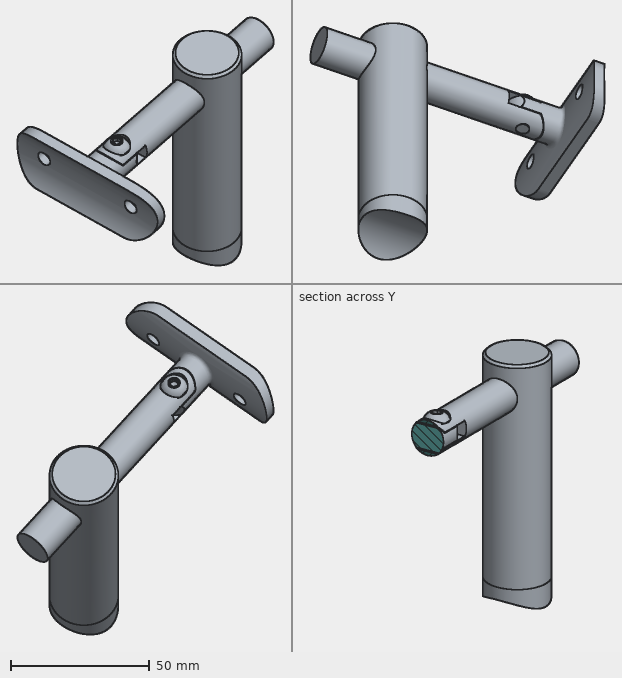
import cadquery as cq
import math


POST_DIAMETER = 24.9
POST_TOP = 13.0
POST_BOTTOM = -75.0
POST_CHAMFER = 1.0
SADDLE_BOTTOM = -84.1
RAIL_RADIUS = 21.2

BAR_DIAMETER = 14.0
BAR_BACK = 29.8
SLOT_BACK = -43.5
SLOT_WIDTH = 6.1
FORK_FLAT_END = -56.5
FORK_TIP = -59.6
JOINT_GAP = 0.2

PLATE_LENGTH = 65.0
PLATE_HEIGHT = POST_DIAMETER
PLATE_THICKNESS = 4.0
PLATE_HOLE_DIAMETER = 5.6
PLATE_HOLE_SPACING = 40.0
PLATE_FRONT = -73.3

TONGUE_CENTER = -52.9
TONGUE_END_RADIUS = 7.7
STEM_FILLET = 1.4

PIVOT = -52.3
SHANK_DIAMETER = 4.9
SHANK_BOTTOM = -6.9
HEAD_DIAMETER = 9.9
HEAD_BOTTOM = 5.3
HEAD_TOP = 8.0
HEAD_FLAT_DIAMETER = 4.3
DOME_MID_RADIUS = 3.8
DOME_MID_Z = 7.0
SOCKET_ACROSS_FLATS = 3.0
SOCKET_DEPTH = 1.5
SOCKET_POINT_DEPTH = 0.8

BAR_RADIUS = BAR_DIAMETER / 2
POST_RADIUS = POST_DIAMETER / 2
RAIL_AXIS_SETBACK = math.sqrt(RAIL_RADIUS**2 - POST_RADIUS**2)
RAIL_Y = PLATE_FRONT - RAIL_AXIS_SETBACK
PLATE_BACK_RADIUS = RAIL_RADIUS + PLATE_THICKNESS
PLATE_BACK = RAIL_Y + PLATE_BACK_RADIUS
RAIL_Z = SADDLE_BOTTOM - RAIL_AXIS_SETBACK


def rod_y(diameter, y_front, y_back):
    """Round rod on the Y axis."""
    rod = cq.Workplane("XZ", origin=(0, y_back, 0)).circle(diameter / 2)
    return rod.extrude(y_back - y_front)


def rod_z(diameter, z_bottom, z_top, y=0):
    """Upright round rod at the given Y."""
    rod = cq.Workplane("XY", origin=(0, y, z_bottom)).circle(diameter / 2)
    return rod.extrude(z_top - z_bottom)


def plate_cylinder(radius):
    """Cylinder along X about the rail axis in front of the plate, as long as the plate."""
    return cq.Workplane("YZ", origin=(0, RAIL_Y, 0)).circle(radius).extrude(PLATE_LENGTH / 2, both=True)


def make_post():
    """Chamfered round post with a cross bore for the bar."""
    post = rod_z(POST_DIAMETER, POST_BOTTOM, POST_TOP).faces(">Z").chamfer(POST_CHAMFER)
    return post.cut(rod_y(BAR_DIAMETER, -POST_DIAMETER, POST_DIAMETER))


def make_saddle():
    """Foot of the post, hollowed to sit on a rail along Y."""
    saddle = rod_z(POST_DIAMETER, SADDLE_BOTTOM, POST_BOTTOM)
    rail = rod_y(2 * RAIL_RADIUS, -POST_DIAMETER, POST_DIAMETER)
    return saddle.cut(rail.translate((0, 0, RAIL_Z)))


def joint_space(shrink):
    """Slot that flares to the fork tips, with every face moved inward by shrink."""
    slant = math.atan2(FORK_FLAT_END - FORK_TIP, BAR_RADIUS - SLOT_WIDTH / 2)
    half_slot = SLOT_WIDTH / 2 - shrink
    corner = FORK_FLAT_END - shrink * (1 / math.cos(slant) - math.tan(slant))
    reach = BAR_DIAMETER
    end = corner - (reach - half_slot) * math.tan(slant)
    outline = [
        (SLOT_BACK - shrink, half_slot),
        (corner, half_slot),
        (end, reach),
        (PLATE_FRONT, reach),
        (PLATE_FRONT, -reach),
        (end, -reach),
        (corner, -half_slot),
        (SLOT_BACK - shrink, -half_slot),
    ]
    return cq.Workplane("YZ").polyline(outline).close().extrude(BAR_DIAMETER, both=True)


def make_bar():
    """Round bar with a forked end, a screw hole and a recess for the screw head."""
    bar = rod_y(BAR_DIAMETER, PLATE_FRONT, BAR_BACK).cut(joint_space(0))
    bar = bar.cut(rod_z(SHANK_DIAMETER, -BAR_RADIUS, BAR_RADIUS, PIVOT))
    return bar.cut(rod_z(HEAD_DIAMETER, HEAD_BOTTOM, HEAD_TOP, PIVOT))


def make_stem():
    """Round stem that narrows to a drilled tongue with a rounded end."""
    stem = rod_y(BAR_DIAMETER, PLATE_FRONT, SLOT_BACK).intersect(joint_space(JOINT_GAP))
    eye = rod_z(2 * TONGUE_END_RADIUS, -BAR_RADIUS, BAR_RADIUS, TONGUE_CENTER)
    stem = stem.intersect(eye.union(rod_y(BAR_DIAMETER, PLATE_FRONT, TONGUE_CENTER)))
    stem = stem.cut(plate_cylinder(RAIL_RADIUS + PLATE_THICKNESS / 2))
    return stem.cut(rod_z(SHANK_DIAMETER, -BAR_RADIUS, BAR_RADIUS, PIVOT))


def make_plate():
    """Slotted-outline plate bent to the rail, with a screw hole near each end."""
    blank = cq.Workplane("XZ").slot2D(PLATE_LENGTH, PLATE_HEIGHT).extrude(-PLATE_FRONT)
    plate = blank.intersect(plate_cylinder(PLATE_BACK_RADIUS)).cut(plate_cylinder(RAIL_RADIUS))
    holes = cq.Workplane("XZ").rarray(PLATE_HOLE_SPACING, 1, 2, 1).circle(PLATE_HOLE_DIAMETER / 2)
    return plate.cut(holes.extrude(-PLATE_FRONT))


def make_bracket():
    """Plate and stem in one piece, filleted where they meet."""
    bracket = make_plate().union(make_stem())
    root = bracket.edges(cq.selectors.NearestToPointSelector((0, PLATE_BACK, 0)))
    return root.fillet(STEM_FILLET)


def make_screw():
    """Domed screw with a hexagon socket that ends in a drill point."""
    profile = (
        cq.Workplane("XZ")
        .moveTo(0, SHANK_BOTTOM)
        .lineTo(SHANK_DIAMETER / 2, SHANK_BOTTOM)
        .lineTo(SHANK_DIAMETER / 2, HEAD_BOTTOM)
        .lineTo(HEAD_DIAMETER / 2, HEAD_BOTTOM)
        .threePointArc((DOME_MID_RADIUS, DOME_MID_Z), (HEAD_FLAT_DIAMETER / 2, HEAD_TOP))
        .lineTo(0, HEAD_TOP)
        .close()
    )
    screw = profile.revolve(360, (0, 0, 0), (0, 1, 0))
    socket = cq.Workplane("XY").polygon(6, SOCKET_ACROSS_FLATS, circumscribed=True)
    socket = socket.extrude(-SOCKET_DEPTH).rotate((0, 0, 0), (0, 0, 1), 90)
    point = cq.Solid.makeCone(
        SOCKET_ACROSS_FLATS / 2, 0, SOCKET_POINT_DEPTH,
        cq.Vector(0, 0, -SOCKET_DEPTH), cq.Vector(0, 0, -1),
    )
    socket = socket.union(cq.Workplane(point)).translate((0, 0, HEAD_TOP))
    return screw.cut(socket).translate((0, PIVOT, 0))


post = make_post()
saddle = make_saddle()
bar = make_bar()
bracket = make_bracket()
screw = make_screw()

result = cq.Compound.makeCompound(
    [post.val(), saddle.val(), bar.val(), bracket.val(), screw.val()]
)